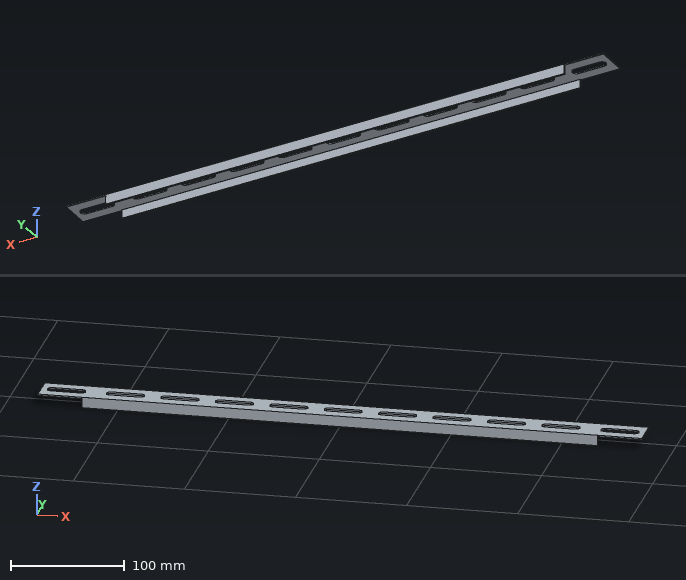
import cadquery as cq

LENGTH = 544.0
WIDTH = 30.0
HEIGHT = 10.0
THICKNESS = 1.5

TAB_LENGTH = 40.0
FLANGE_LENGTH = LENGTH - 2 * TAB_LENGTH

SLOT_LENGTH = 34.0
SLOT_WIDTH = 8.0
SLOT_COUNT = 9
SLOT_PITCH = 49.0
END_SLOT_MARGIN = 6.0
END_SLOT_X = LENGTH / 2 - END_SLOT_MARGIN - SLOT_LENGTH / 2


def make_web():
    """Flat top strip over the full length, with its upper face at Z = HEIGHT."""
    web = cq.Workplane("XY").box(LENGTH, WIDTH, THICKNESS, centered=(True, True, False))
    return web.translate((0, 0, HEIGHT - THICKNESS))


def make_flange(side):
    """Flange hanging from one long edge of the web; side is -1 or +1 along Y."""
    flange = cq.Workplane("XY").box(FLANGE_LENGTH, THICKNESS, HEIGHT, centered=(True, True, False))
    return flange.translate((0, side * (WIDTH - THICKNESS) / 2, 0))


def make_slots():
    """Row of evenly spaced slots plus one slot in each end tab."""
    first_x = -SLOT_PITCH * (SLOT_COUNT - 1) / 2
    centres = [(first_x + i * SLOT_PITCH, 0) for i in range(SLOT_COUNT)]
    centres += [(-END_SLOT_X, 0), (END_SLOT_X, 0)]
    return cq.Workplane("XY").pushPoints(centres).slot2D(SLOT_LENGTH, SLOT_WIDTH).extrude(HEIGHT)


channel = make_web()
for side in (-1, 1):
    channel = channel.union(make_flange(side))

result = channel.cut(make_slots())